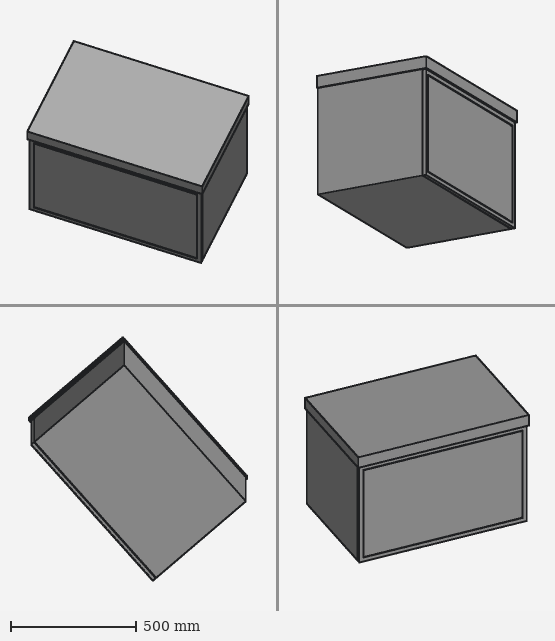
import cadquery as cq

overall_width = 755.0
overall_depth = 500.0
overall_height = 500.0
top_thickness = 50.0
edge_strip = 1.0

cabinet_width = 740.0
front_overhang = 5.0
door_thickness = 16.0
door_top_gap = 2.0
frame_width = 19.0
door_back_gap = 2.0
panel_recess = 4.0

worktop_width = overall_width - 2 * edge_strip
worktop_depth = overall_depth - edge_strip
cabinet_height = overall_height - top_thickness
door_height = cabinet_height - door_top_gap
door_front = front_overhang
cabinet_front = door_front + door_thickness + door_back_gap
panel_width = cabinet_width - 2 * frame_width
panel_height = door_height - 2 * frame_width


def block(width, depth, height, front, bottom, center_x=0):
    """Box placed by its X centre, front face (lowest Y) and underside."""
    return (
        cq.Workplane("XY")
        .box(width, depth, height, centered=(True, False, False))
        .translate((center_x, front, bottom))
    )


worktop = block(worktop_width, worktop_depth, top_thickness, edge_strip, cabinet_height)


def make_end_edging(side):
    center_x = side * (worktop_width + edge_strip) / 2
    return block(edge_strip, overall_depth, top_thickness, 0, cabinet_height, center_x)


end_edgings = [make_end_edging(side) for side in (-1, 1)]

front_edging = block(worktop_width, edge_strip, top_thickness, 0, cabinet_height)

cabinet = block(cabinet_width, overall_depth - cabinet_front, cabinet_height, cabinet_front, 0)


def make_door_frame():
    outer = block(cabinet_width, door_thickness, door_height, door_front, 0)
    opening = block(panel_width, door_thickness, panel_height, door_front, frame_width)
    return outer.cut(opening)


door_frame = make_door_frame()

door_panel = block(
    panel_width,
    door_thickness - panel_recess,
    panel_height,
    door_front + panel_recess,
    frame_width,
)

result = cq.Compound.makeCompound(
    [
        worktop.val(),
        *[edging.val() for edging in end_edgings],
        front_edging.val(),
        cabinet.val(),
        door_frame.val(),
        door_panel.val(),
    ]
)